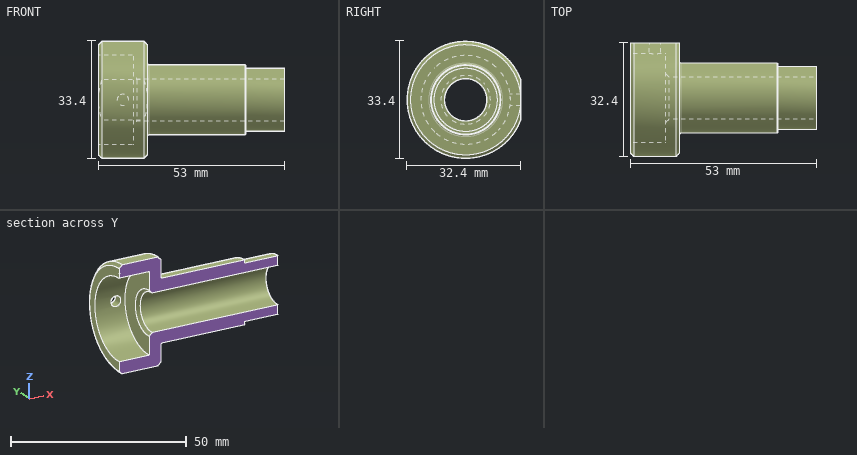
import cadquery as cq

total_length = 53.0
head_diameter = 33.4
head_length = 14.0
shank_diameter = 20.0
shank_end = 42.0
spigot_diameter = 18.0
bore_diameter = 12.0
recess_diameter = 25.4
recess_depth = 10.0
flat_distance = 15.7
cross_hole_diameter = 3.25
cross_hole_x = 7.0
edge_chamfer = 1.0
neck_fillet = 0.5
shank_chamfer = 0.2

head_radius = head_diameter / 2
bore_radius = bore_diameter / 2


def rod(start, end, diameter):
    """Solid cylinder on the X axis from start to end."""
    return cq.Workplane("YZ", origin=(start, 0, 0)).circle(diameter / 2).extrude(end - start)


def flatted_head():
    head = rod(0, head_length, head_diameter).faces("<X or >X").chamfer(edge_chamfer)
    waste = cq.Workplane("XY").box(
        head_length, head_radius, head_diameter, centered=(False, False, True)
    )
    return head.cut(waste.translate((0, flat_distance, 0)))


def stepped_shank():
    shank = rod(head_length, shank_end, shank_diameter).faces(">X").chamfer(shank_chamfer)
    return shank.union(rod(head_length, total_length, spigot_diameter))


def neck_corner():
    """Ring that rounds the inside corner between head and shank."""
    shank_radius = shank_diameter / 2
    mid_offset = neck_fillet * (1 - 0.5**0.5)
    return (
        cq.Workplane("XY")
        .moveTo(head_length, bore_radius)
        .lineTo(head_length, shank_radius + neck_fillet)
        .threePointArc(
            (head_length + mid_offset, shank_radius + mid_offset),
            (head_length + neck_fillet, shank_radius),
        )
        .lineTo(head_length + neck_fillet, bore_radius)
        .close()
        .revolve(360, (0, 0, 0), (1, 0, 0))
    )


def stepped_bore():
    """Recess in the head, then a through bore with a chamfered mouth."""
    recess_radius = recess_diameter / 2
    return (
        cq.Workplane("XY")
        .moveTo(0, 0)
        .lineTo(0, recess_radius)
        .lineTo(recess_depth, recess_radius)
        .lineTo(recess_depth, bore_radius + edge_chamfer)
        .lineTo(recess_depth + edge_chamfer, bore_radius)
        .lineTo(total_length, bore_radius)
        .lineTo(total_length, 0)
        .close()
        .revolve(360, (0, 0, 0), (1, 0, 0))
    )


def cross_hole():
    """Radial hole from the recess out through the flat."""
    return (
        cq.Workplane("XZ", origin=(cross_hole_x, 0, 0))
        .circle(cross_hole_diameter / 2)
        .extrude(-head_radius)
    )


body = flatted_head().union(stepped_shank()).union(neck_corner())
result = body.cut(stepped_bore()).cut(cross_hole())